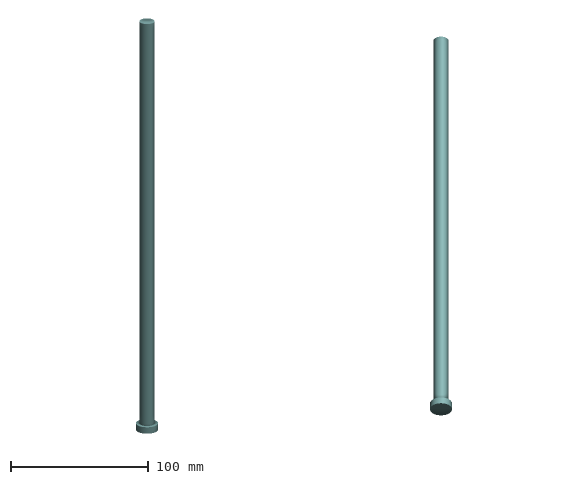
import cadquery as cq

total_length = 320.0
shank_diameter = 11.0
head_diameter = 16.0
head_height = 5.0


def cylinder(diameter, height):
    """Upright cylinder on the Z axis, rising from the underside of the head."""
    return cq.Workplane("XY").circle(diameter / 2).extrude(height)


head = cylinder(head_diameter, head_height)
shank = cylinder(shank_diameter, total_length)

result = head.union(shank)